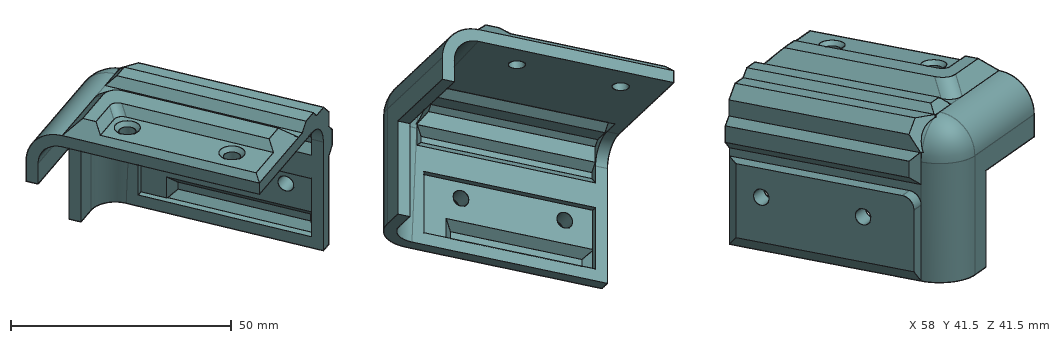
import cadquery as cq
import math

LENGTH = 58.0
DEPTH = 38.0
WALL = 3.0
OUTER_RADIUS = 9.0
INNER_RADIUS = OUTER_RADIUS - WALL
END_FLANGE = 14.5
INSIDE = DEPTH - WALL
CORNER_STRETCH = 1.2

SLOPE_SHIFT = WALL * (math.sqrt(2) - 1)

RIB_START = DEPTH - END_FLANGE
RIB_WIDTH = 8.0
RIB_HEIGHT = 2.0
FOOT = 1.0

RIDGE_RISE = 0.2
RIDGE_FACE = 3.9
RIDGE_BEVEL = 3.0
RIDGE_END_RUN = 3.0

PAD_START = OUTER_RADIUS
PAD_WIDTH = 21.5
PAD_HEIGHT = 3.5
TOP_PAD_FILLET = 5.0
BACK_PAD_RADIUS = 3.0

STEP_DEPTH = 2.0
STEP_X = 15.8
STEP_Y = 13.0
STEP_FILLET = 3.0

HOLE_X = (22.0, 48.0)
HOLE_EDGE = 7.0
HOLE_DIAMETER = 3.9
SINK_DIAMETER = 5.9

POCKET_FLOOR = DEPTH + PAD_HEIGHT - STEP_DEPTH - WALL
TROUGH_X = 18.3
TROUGH_TOP = 8.6

MARGIN = 10.0


def block(x_range, y_range, z_range):
    """Axis-aligned box between the given limits."""
    sizes = [high - low for low, high in (x_range, y_range, z_range)]
    corner = (x_range[0], y_range[0], z_range[0])
    return cq.Workplane("XY").box(*sizes, centered=False).translate(corner)


def swap_y_z(body):
    """Reflect in the plane y = z, which turns top-plate shapes into back-plate ones."""
    return body.rotate((0, 0, 0), (1, 0, 0), 90).mirror("XZ")


def sloped_slab(x_range, y_range, base, height):
    """Slab from z = base whose sides slope inwards at 45 degrees; a negative height points it down."""
    middle = (sum(x_range) / 2, sum(y_range) / 2)
    return (
        cq.Workplane("XY", origin=(*middle, base))
        .rect(x_range[1] - x_range[0], y_range[1] - y_range[0])
        .extrude(height, taper=45)
    )


def rounded_box(length, depth, start, radius):
    """Box from x = start, rounded on the three edges that meet at its top-back-left corner."""
    body = block((start, length), (-MARGIN, depth), (-MARGIN, depth))
    return body.edges("(>Y and >Z) or (<X and >Z) or (<X and >Y)").fillet(radius)


def make_shell():
    """Top plate, back plate and L-shaped end wall of even thickness, without pads or ribs."""
    outer = rounded_box(LENGTH, DEPTH, 0, OUTER_RADIUS)
    outer = outer.intersect(block((0, LENGTH), (0, DEPTH), (0, DEPTH)))
    cavity = rounded_box(LENGTH + MARGIN, INSIDE, WALL, INNER_RADIUS)
    opening = block((-MARGIN, WALL), (-MARGIN, RIB_START), (-MARGIN, RIB_START))
    return outer.cut(cavity).cut(opening)


def corner_fill():
    """Thickening of the inner upright corner, growing with z up to an elliptical dome at the top."""
    tangent = INSIDE - INNER_RADIUS
    reach = INNER_RADIUS + CORNER_STRETCH
    outline = (
        cq.Workplane("XZ", origin=(0, INSIDE, 0))
        .polyline([(WALL, 0), (WALL + INNER_RADIUS, 0), (WALL + reach, tangent), (WALL, tangent)])
        .close()
        .extrude(INNER_RADIUS)
    )
    tapered_hollow = (
        cq.Workplane("XY", origin=(WALL + INNER_RADIUS, tangent))
        .circle(INNER_RADIUS)
        .workplane(offset=tangent)
        .center(CORNER_STRETCH, 0)
        .ellipse(reach, INNER_RADIUS)
        .loft(ruled=True)
    )
    column = outline.cut(tapered_hollow)
    dome = (
        cq.Workplane("XY", origin=(WALL + reach, tangent, tangent))
        .ellipseArc(reach, INNER_RADIUS, 0, 180, startAtCurrent=False)
        .close()
        .revolve(360, (0, 0, 0), (1, 0, 0))
    )
    cap = block((WALL, WALL + reach), (tangent, INSIDE), (tangent, INSIDE)).cut(dome)
    half_wall = WALL / 2
    cap = cap.intersect(rounded_box(LENGTH, DEPTH - half_wall, half_wall, OUTER_RADIUS - half_wall))
    return column.union(swap_y_z(column)).union(cap)


def rib(inset):
    """Rib on the top plate, or with inset = WALL the groove that follows it inside."""
    shift = SLOPE_SHIFT * inset / WALL
    base = DEPTH - inset
    x_start = OUTER_RADIUS + shift
    x_stop = LENGTH - inset
    y_range = (RIB_START + shift, RIB_START + RIB_WIDTH - shift)
    slab = sloped_slab((x_start, x_stop + MARGIN), y_range, base, RIB_HEIGHT)
    slab = slab.intersect(block((0, x_stop), (0, DEPTH), (base, base + RIB_HEIGHT)))
    return slab.union(block((x_start, x_stop), y_range, (base - FOOT, base)))


def edge_ridge(inset):
    """Bevelled ridge along the top-back edge, or with inset = WALL the groove inside it."""
    shift = SLOPE_SHIFT * inset / WALL
    face = DEPTH + RIDGE_RISE - inset
    bevel_leg = RIDGE_BEVEL - inset * (2 - math.sqrt(2))
    foot = DEPTH + RIDGE_RISE - RIDGE_BEVEL - RIDGE_FACE - shift
    x_stop = LENGTH - inset
    profile = (
        cq.Workplane("YZ")
        .polyline([
            (foot, face - FOOT),
            (foot, face),
            (face - bevel_leg, face),
            (face, face - bevel_leg),
            (face, foot),
            (face - FOOT, foot),
        ])
        .close()
        .extrude(x_stop)
    )
    middle = (foot + face) / 2
    rise = (face - foot - bevel_leg) / math.sqrt(2)
    drop = FOOT / math.sqrt(2)
    slope = RIDGE_END_RUN / (RIDGE_FACE / math.sqrt(2))
    x_start = OUTER_RADIUS + shift
    side = cq.Plane(origin=(0, middle, middle), xDir=(1, 0, 0), normal=(0, -1, 1))
    keep = (
        cq.Workplane(side)
        .polyline([
            (x_start - slope * drop, -drop),
            (x_start + slope * rise, rise),
            (x_stop, rise),
            (x_stop, -drop),
        ])
        .close()
        .extrude(MARGIN, both=True)
    )
    return profile.intersect(keep)


def make_top_pad():
    """Pad sloped on all sides, with a lowered step open at the front and at the open end."""
    pad = sloped_slab((PAD_START, LENGTH), (0, PAD_WIDTH), DEPTH, PAD_HEIGHT)
    near = cq.selectors.NearestToPointSelector
    mid = PAD_HEIGHT / 2
    pad = pad.edges(near((PAD_START + mid, PAD_WIDTH - mid, DEPTH + mid))).fillet(TOP_PAD_FILLET)
    top = DEPTH + PAD_HEIGHT
    step = sloped_slab((STEP_X, LENGTH + MARGIN), (-MARGIN, STEP_Y), top, -STEP_DEPTH)
    mid = STEP_DEPTH / 2
    step = step.edges(near((STEP_X + mid, STEP_Y - mid, top - mid))).fillet(STEP_FILLET)
    return pad.cut(step)


def make_back_pad():
    """Pad with upright left and upper sides, and 45 degree slopes below and at the open end."""
    slab = sloped_slab((-MARGIN, LENGTH), (0, PAD_WIDTH + MARGIN), DEPTH, PAD_HEIGHT)
    limits = block((PAD_START, LENGTH), (0, PAD_WIDTH), (DEPTH, DEPTH + PAD_HEIGHT))
    limits = limits.edges("<X and >Y").fillet(BACK_PAD_RADIUS)
    return swap_y_z(slab.intersect(limits))


def back_pad_hollow():
    """Shallow pocket inside the back pad, with a deeper sloped trough along its lower edge."""
    x_range = (PAD_START + WALL, LENGTH - WALL)
    y_range = (WALL, PAD_WIDTH - WALL)
    trough_rim = POCKET_FLOOR - INSIDE + SLOPE_SHIFT
    pocket = block(x_range, y_range, (INSIDE - FOOT, POCKET_FLOOR))
    trough = sloped_slab((TROUGH_X, LENGTH - trough_rim), (trough_rim, TROUGH_TOP), POCKET_FLOOR, STEP_DEPTH)
    trough = trough.intersect(block(x_range, y_range, (POCKET_FLOOR, POCKET_FLOOR + STEP_DEPTH)))
    return swap_y_z(pocket.union(trough))


def top_hole(x):
    """Countersunk screw hole through the top plate and the lowered part of its pad."""
    seat = DEPTH + PAD_HEIGHT - STEP_DEPTH
    seat_plane = cq.Workplane("XY", origin=(x, HOLE_EDGE, seat))
    sink_depth = (SINK_DIAMETER - HOLE_DIAMETER) / 2
    shaft = seat_plane.circle(HOLE_DIAMETER / 2).extrude(INSIDE - seat)
    sink = seat_plane.circle(SINK_DIAMETER / 2).extrude(-sink_depth, taper=45)
    return shaft.union(sink)


def back_hole(x):
    """Plain screw hole through the back plate and its pad."""
    plane = cq.Workplane("XY", origin=(x, PAD_WIDTH - HOLE_EDGE, INSIDE))
    return swap_y_z(plane.circle(HOLE_DIAMETER / 2).extrude(WALL + PAD_HEIGHT))


result = make_shell().union(corner_fill())
for outside in (rib(0), swap_y_z(rib(0)), edge_ridge(0), make_top_pad(), make_back_pad()):
    result = result.union(outside)
for inside in (rib(WALL), swap_y_z(rib(WALL)), edge_ridge(WALL), back_pad_hollow()):
    result = result.cut(inside)
for hole_x in HOLE_X:
    result = result.cut(top_hole(hole_x)).cut(back_hole(hole_x))